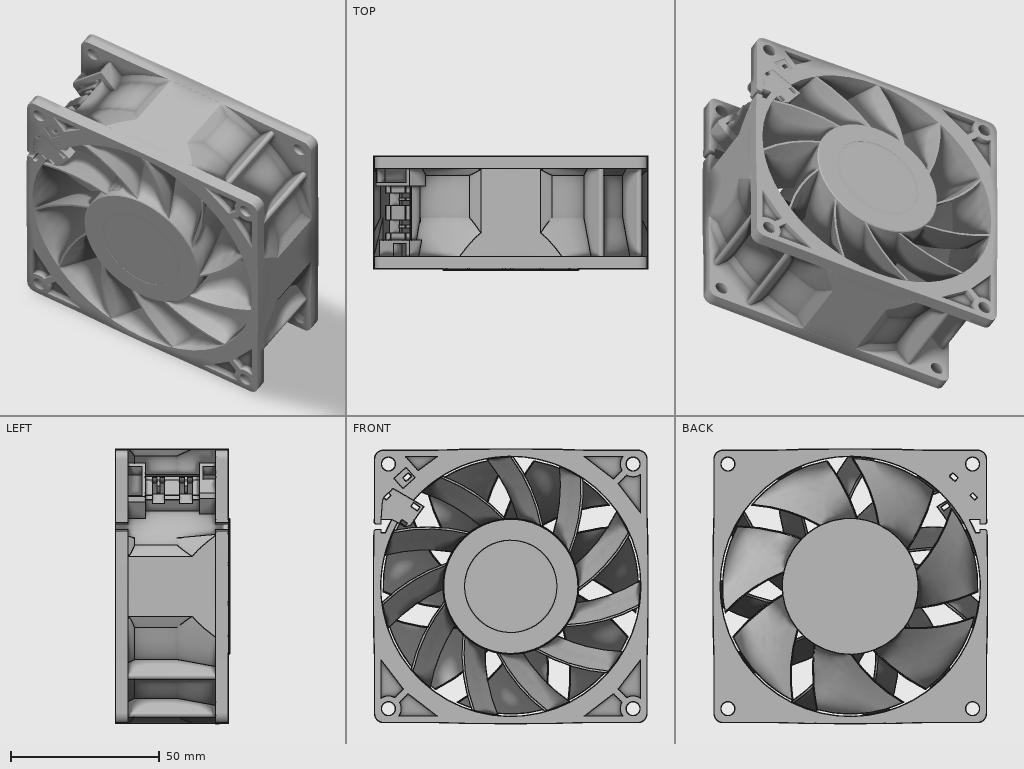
import cadquery as cq
import math


margin = 1.0

corner_half = 45.92
bulge_half = 46.3
bow_half_length = 24.8
corner_radius = 3.1
frame_depth = 38.0
flange_thickness = 4.25
bore_radius = 43.8
rear_flange_y = frame_depth - flange_thickness

hole_offset = 41.2
hole_diameter = 4.6

barrel_radius = 46.0
front_flare_radius = 49.3
front_flare_end_y = 17.25
rear_flare_radius = 47.5
rear_flare_start_y = 31.5
pad_top_half = 10.1
pad_base_half = 13.9
pad_base_height = 43.85
bulge_at_pad = 46.2
pad_inner_height = 40.0

rib_inner_offset = 8.05
rib_thickness = 2.0
rib_start = 44.5
rib_end = 53.0
ribbed_corner_angles = (45, 225, 315)

pocket_depth = 2.3
pocket_edge = 43.75
pocket_tip = 24.75
pocket_inner_point = (34.6, 36.2)
pocket_hole_clearance = 4.3
pocket_turns = (0, 180, 270)
single_pocket_points = [(-35.5, 43.75), (-24.75, 43.75), (-31.2, 39.0)]

slit_bottom = 19.2
slit_top = 21.0
slit_mouth_chamfer = 0.4
notch_inner_wall = 43.7
notch_bottom = 18.1
notch_top = 22.5
notch_reach = 38.0

connector_angle = 135
plain_corner_angles = (131.5, 159.2)
block_start = 44.0
end_block_reach = 53.5
front_block_across = (-5.2, 10.4)
rear_block_across = (-5.2, 12.0)
end_block_chamfer = 1.3
rear_block_front_y = 27.9
front_block_rear_y = 9.7
mid_block_reach = 50.5
mid_block_across = (-2.7, 9.1)
socket_across = (-2.0, 9.1)
socket_floor = 47.2
front_socket_y = (12.0, 16.5)
rear_socket_y = (21.4, 25.6)
step_across = (4.5, 9.1)
step_reach = 48.6
fin_across = (-2.0, 2.8)
fin_thickness = 0.9
window_depth = 3.9
front_window_across = (-3.5, 2.3)
rear_window_across = (-3.5, 10.2)
window_margin = 1.2

clip_points = [
    (-39.7, 33.0),
    (-29.2, 26.9),
    (-33.7, 20.6),
    (-35.5, 20.0),
    (-37.6, 21.2),
    (-40.0, 22.5),
    (-43.7, 22.5),
    (-43.2, 29.1),
]
clip_thickness = 4.0
clip_recess = 0.25
clip_slots = [
    ((-41.6, 30.3), 2.2, 1.2, 45.0),
    ((-32.1, 26.8), 2.6, 1.5, -35.0),
    ((-36.1, 21.4), 2.2, 1.2, -35.0),
]
square_center = (-35.8, 36.5)
square_length = 5.5
square_width = 4.6
square_tilt = 42.0
square_hole_center = (-34.9, 36.8)
square_hole_length = 2.4
square_hole_width = 1.6

hub_front_y = -0.6
hub_radius = 22.9
hub_edge_chamfer = 0.3
label_radius = 15.55
label_recess = 0.1
hub_recess_depth = 0.4
hub_recess_y = (1.7, 16.3)
hub_recess_angles = (214.5, 226.5)
recessed_blades = (8, 9)
root_radius = 22.0

blade_count = 11
blade_front_y = 0.0
blade_rear_y = 16.3
blade_tip_radius = 43.6
blade_mid_radius = 32.5
blade_front_angles = (223.5, 240.2, 252.5)
blade_shift = 8.1
blade_thickness = 0.9
blade_sections = 3

vane_count = 7
vane_front_y = 17.1
vane_rear_y = 37.5
vane_tip_radius = 43.0
vane_mid_radius = 32.5
vane_front_angles = (199.0, 189.5, 182.0)
vane_rear_angles = (167.3, 153.0, 142.3)
vane_thickness = 0.4
vane_sections = 4


def polar(radius, angle):
    return (radius * math.cos(math.radians(angle)), radius * math.sin(math.radians(angle)))


def plane_at(y):
    """Work plane across the fan axis with local x along X and local y along Z; its normal is -Y."""
    return cq.Workplane("XZ", origin=(0, y, 0))


def slab(sketch, y_start, y_end):
    """Plate between two Y positions whose outline is drawn by the function `sketch`."""
    return sketch(plane_at(y_start)).extrude(y_start - y_end)


def cylinder(radius, y_start, y_end):
    return plane_at(y_start).circle(radius).extrude(y_start - y_end)


def tilted_box(center, length, width, tilt, y_start, y_end):
    """Box between two Y positions, turned about its own centre (X, Z) by the tilt angle."""
    box = plane_at(y_start).rect(length, width).extrude(y_start - y_end)
    box = box.rotate((0, 0, 0), (0, 1, 0), -tilt)
    return box.translate((center[0], 0, center[1]))


def spin(body, angle):
    """Turn a body about the fan axis, counter-clockwise as seen from the intake side."""
    return body.rotate((0, 0, 0), (0, 1, 0), -angle)


def diagonal_box(along, across, y_range, corner_angle):
    """Box whose length runs outward along a corner diagonal."""
    length = along[1] - along[0]
    width = across[1] - across[0]
    middle = (sum(along) / 2, sum(across) / 2)
    return spin(tilted_box(middle, length, width, 0, *y_range), corner_angle)


def flange(y_start):
    half, bow = corner_half, bow_half_length
    plate = (
        plane_at(y_start)
        .moveTo(half, -bow)
        .threePointArc((bulge_half, 0), (half, bow))
        .lineTo(half, half)
        .lineTo(bow, half)
        .threePointArc((0, bulge_half), (-bow, half))
        .lineTo(-half, half)
        .lineTo(-half, bow)
        .threePointArc((-bulge_half, 0), (-half, -bow))
        .lineTo(-half, -half)
        .lineTo(-bow, -half)
        .threePointArc((0, -bulge_half), (bow, -half))
        .lineTo(half, -half)
        .close()
        .extrude(-flange_thickness)
    )
    for sx in (-1, 1):
        for sz in (-1, 1):
            low = (sx * half - margin, y_start - margin, sz * half - margin)
            high = (sx * half + margin, y_start + flange_thickness + margin, sz * half + margin)
            plate = plate.edges("|Y").edges(cq.selectors.BoxSelector(low, high)).fillet(corner_radius)
    holes = (
        plane_at(y_start)
        .rect(2 * hole_offset, 2 * hole_offset, forConstruction=True)
        .vertices()
        .circle(hole_diameter / 2)
        .extrude(-flange_thickness)
    )
    return plate.cut(holes)


def flared_barrel():
    """Barrel with conical flares, trimmed to the flange sides and plain at the connector corner."""
    profile = [
        (0, flange_thickness),
        (front_flare_radius, flange_thickness),
        (barrel_radius, front_flare_end_y),
        (barrel_radius, rear_flare_start_y),
        (rear_flare_radius, rear_flange_y),
        (0, rear_flange_y),
    ]
    flares = cq.Workplane("XY").polyline(profile).close().revolve(360, (0, 0, 0), (0, 1, 0))
    side = 2 * bulge_at_pad
    flares = flares.intersect(slab(lambda w: w.rect(side, side), flange_thickness, rear_flange_y))
    reach = 2 * corner_half
    sector = [(0, 0), polar(reach, plain_corner_angles[0]), polar(reach, plain_corner_angles[1])]
    corner = slab(lambda w: w.polyline(sector).close(), flange_thickness, rear_flange_y)
    return flares.cut(corner).union(cylinder(barrel_radius, flange_thickness, rear_flange_y))


def side_pad():
    """Flush pad with sloping sides on the +Z side of the barrel."""
    points = [
        (-pad_base_half, pad_inner_height),
        (-pad_base_half, pad_base_height),
        (-pad_top_half, bulge_at_pad),
        (pad_top_half, bulge_at_pad),
        (pad_base_half, pad_base_height),
        (pad_base_half, pad_inner_height),
    ]
    return slab(lambda w: w.polyline(points).close(), flange_thickness, rear_flange_y)


def corner_ribs(corner_angle):
    """Pair of round-ended ribs, one on each side of a corner diagonal."""
    y_range = (flange_thickness, rear_flange_y)
    end_radius = rib_thickness / 2
    end_center = rib_end - end_radius
    ribs = []
    for side in (-1, 1):
        middle = side * (rib_inner_offset + end_radius)
        across = (middle - end_radius, middle + end_radius)
        rib = diagonal_box((rib_start, end_center), across, y_range, 0)
        rib = rib.union(cylinder(end_radius, *y_range).translate((end_center, 0, middle)))
        ribs.append(spin(rib, corner_angle))
    return ribs


def corner_pockets():
    """Pair of pockets beside the upper right screw hole, mirror images across the diagonal."""
    web_offset = pocket_inner_point[1] - pocket_inner_point[0]
    points = [
        (pocket_tip, pocket_edge),
        pocket_inner_point,
        (pocket_edge - web_offset, pocket_edge),
    ]
    mirrored = [(z, x) for x, z in points]
    keep = plane_at(0).center(hole_offset, hole_offset).circle(pocket_hole_clearance).extrude(-pocket_depth)
    pair = slab(lambda w: w.polyline(points).close().polyline(mirrored).close(), 0, pocket_depth)
    return pair.cut(keep)


def wire_notch():
    edge = bulge_half + margin
    mouth = corner_half - slit_mouth_chamfer
    flared_reach = edge - mouth
    slit_points = [
        (-notch_reach, slit_bottom),
        (-mouth, slit_bottom),
        (-edge, slit_bottom - flared_reach),
        (-edge, slit_top + flared_reach),
        (-mouth, slit_top),
        (-notch_reach, slit_top),
    ]
    slit = slab(lambda w: w.polyline(slit_points).close(), 0, frame_depth)
    pocket = (
        plane_at(0)
        .moveTo(-notch_inner_wall, notch_bottom)
        .rect(notch_inner_wall - notch_reach, notch_top - notch_bottom, centered=False)
        .extrude(-frame_depth)
    )
    return slit.union(pocket).cut(cylinder(barrel_radius, 0, frame_depth))


def end_block(across, y_range):
    """End block of the connector housing with its outer lower edge chamfered."""
    block = diagonal_box((block_start, end_block_reach), across, y_range, 0)
    block = block.faces(">X").edges(">Z").chamfer(end_block_chamfer)
    return spin(block, connector_angle)


def connector_housing():
    """Stepped block on the barrel: two end blocks with windows and a lower middle with two sockets."""
    angle = connector_angle
    front_y = (flange_thickness, front_block_rear_y)
    rear_y = (rear_block_front_y, rear_flange_y)
    body = end_block(front_block_across, front_y)
    body = body.union(end_block(rear_block_across, rear_y))
    middle_y = (front_block_rear_y, rear_block_front_y)
    body = body.union(diagonal_box((block_start, mid_block_reach), mid_block_across, middle_y, angle))

    window_along = (end_block_reach - window_depth, end_block_reach)
    front_window_y = (flange_thickness, front_block_rear_y - window_margin)
    rear_window_y = (rear_block_front_y + window_margin, rear_flange_y)
    body = body.cut(diagonal_box(window_along, front_window_across, front_window_y, angle))
    body = body.cut(diagonal_box(window_along, rear_window_across, rear_window_y, angle))

    socket_along = (socket_floor, mid_block_reach)
    for y_range in (front_socket_y, rear_socket_y):
        body = body.cut(diagonal_box(socket_along, socket_across, y_range, angle))
        body = body.union(diagonal_box((socket_floor, step_reach), step_across, y_range, angle))
        middle = sum(y_range) / 2
        fin_y = (middle - fin_thickness / 2, middle + fin_thickness / 2)
        body = body.union(diagonal_box(socket_along, fin_across, fin_y, angle))
    return body


def add_clip(frame):
    """Tilted clip and square plate at the connector corner, slightly below the intake face."""
    def clip_outline(work_plane):
        return work_plane.polyline(clip_points).close()

    frame = frame.cut(slab(clip_outline, 0, clip_recess))
    frame = frame.union(slab(clip_outline, clip_recess, clip_thickness))
    frame = frame.cut(
        tilted_box(square_center, square_length, square_width, square_tilt, 0, clip_recess)
    )
    for slot in clip_slots:
        frame = frame.cut(tilted_box(*slot, 0, frame_depth))
    return frame.cut(
        tilted_box(square_hole_center, square_hole_length, square_hole_width, square_tilt, 0, frame_depth)
    )


def make_frame():
    frame = flared_barrel()
    for quarter in range(4):
        frame = frame.union(spin(side_pad(), 90 * quarter))
    for corner_angle in ribbed_corner_angles:
        for rib in corner_ribs(corner_angle):
            frame = frame.union(rib)
    frame = frame.union(connector_housing())
    frame = frame.union(flange(0)).union(flange(rear_flange_y))
    frame = frame.cut(cylinder(bore_radius, 0, frame_depth))
    frame = frame.cut(wire_notch())
    for turn in pocket_turns:
        frame = frame.cut(spin(corner_pockets(), turn))
    frame = frame.cut(slab(lambda w: w.polyline(single_pocket_points).close(), 0, pocket_depth))
    return add_clip(frame)


def blade_wire(y, radii, angles, thickness):
    """Closed curved strip across the axis; it follows three polar points and is thickened sideways."""
    near = [polar(r, a) for r, a in zip(radii, angles)]
    far = [polar(r, a + math.degrees(thickness / r)) for r, a in zip(radii, angles)]
    tip_angle = angles[2] + math.degrees(thickness / radii[2]) / 2
    strip = (
        plane_at(y)
        .moveTo(*near[0])
        .threePointArc(near[1], near[2])
        .threePointArc(polar(radii[2], tip_angle), far[2])
        .threePointArc(far[1], far[0])
        .close()
    )
    return strip.val()


def lofted_blade(y_range, radii, front_angles, rear_angles, thickness, sections):
    wires = []
    for index in range(sections):
        share = index / (sections - 1)
        y = y_range[0] + share * (y_range[1] - y_range[0])
        angles = [a + share * (b - a) for a, b in zip(front_angles, rear_angles)]
        wires.append(blade_wire(y, radii, angles, thickness))
    return cq.Workplane(cq.Solid.makeLoft(wires, False))


def rotor_blade():
    radii = (root_radius, blade_mid_radius, blade_tip_radius)
    rear_angles = [a + math.degrees(blade_shift / r) for r, a in zip(radii, blade_front_angles)]
    y_range = (blade_front_y, blade_rear_y)
    return lofted_blade(y_range, radii, blade_front_angles, rear_angles, blade_thickness, blade_sections)


def rear_vane():
    radii = (root_radius, vane_mid_radius, vane_tip_radius)
    y_range = (vane_front_y, vane_rear_y)
    return lofted_blade(y_range, radii, vane_front_angles, vane_rear_angles, vane_thickness, vane_sections)


def hub_recess():
    """Curved recess in the hub surface, just ahead of the first blade's root."""
    ring = cylinder(hub_radius + margin, *hub_recess_y)
    ring = ring.cut(cylinder(hub_radius - hub_recess_depth, *hub_recess_y))
    start, end = (polar(2 * hub_radius, angle) for angle in hub_recess_angles)
    return ring.intersect(slab(lambda w: w.polyline([(0, 0), start, end]).close(), *hub_recess_y))


def make_fan_wheel():
    wheel = cylinder(hub_radius, hub_front_y, frame_depth).faces("<Y").chamfer(hub_edge_chamfer)
    wheel = wheel.cut(cylinder(label_radius, hub_front_y, hub_front_y + label_recess))
    recess = hub_recess()
    for index in recessed_blades:
        wheel = wheel.cut(spin(recess, index * 360 / blade_count))
    blade = rotor_blade()
    for index in range(blade_count):
        wheel = wheel.union(spin(blade, index * 360 / blade_count))
    vane = rear_vane()
    for index in range(vane_count):
        wheel = wheel.union(spin(vane, index * 360 / vane_count))
    return wheel


frame = make_frame()
fan_wheel = make_fan_wheel()

result = cq.Compound.makeCompound([*frame.solids().vals(), *fan_wheel.solids().vals()])